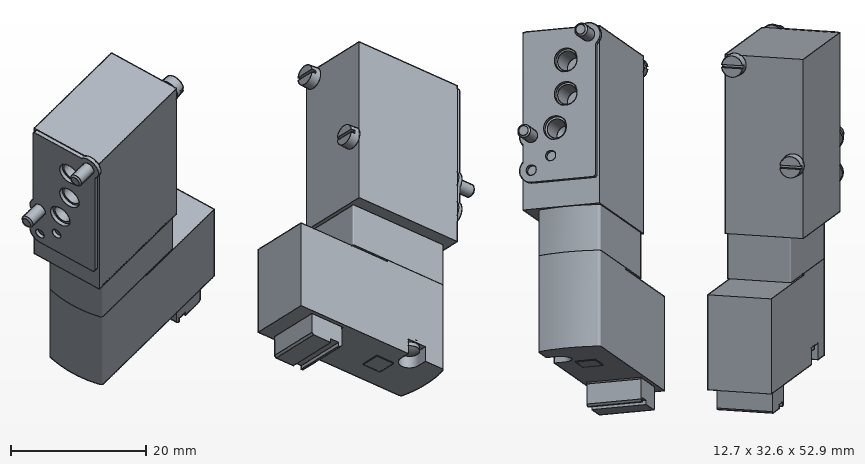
import cadquery as cq
import math


overall_height = 52.9

housing_width = 12.05
housing_depth = 19.1
housing_bottom = 25.3
housing_top = 52.5

plate_thickness = 0.65
plate_left = -5.8
plate_right = 5.65
plate_top = 52.35
plate_corner = 0.5
lobe_radius = 1.85
lobe_fillet = 0.4
lobe_x = 4.5
upper_lobe_z = overall_height - lobe_radius
middle_lobe_z = 36.35
lower_lobe_z = 31.1
plate_bottom = lower_lobe_z - lobe_radius

screw_places = [(lobe_x, upper_lobe_z), (-lobe_x, middle_lobe_z)]
shaft_diameter = 2.0
shaft_tip_y = -3.95
shaft_chamfer = 0.25
head_base_diameter = 3.45
head_end_diameter = 3.25
head_height = 1.6
screw_slot_width = 0.5
screw_slot_depth = 0.7

neck_x = 0.95
plate_port_diameter = 3.6
port_diameter = 3.0
flat_port_places = [(neck_x, 47.5), (neck_x, 42.35)]
drilled_port_place = (-0.75, 37.3)
drilled_port_diameter = 2.9
drill_point_angle = 118
port_depth = 4.25
pin_hole_diameter = 1.6
pin_hole_places = [(-1.45, 33.05), (-lobe_x, lower_lobe_z)]

neck_width = 9.85
connector_left = neck_x - neck_width / 2
neck_front = 0.2
bow_edge_y = 0.8
side_edge_y = 1.3
corner_inset = 0.35
corner_middle_share = 0.3
neck_back = 18.45
neck_back_fillet = 0.2
joint_z = 18.3
connector_back = 28.6
connector_bottom = 3.6
connector_step_y = 11.85
connector_step_height = 0.25

pocket_y = 6.15
pocket_width = 3.35
pocket_radius = pocket_width / 2
pocket_top = 6.15
pocket_end_x = connector_left + pocket_radius

pin_diameter = 3.0
pin_rim_z = 5.5
pin_dome_height = 0.5
pin_recess = 0.55

pad_width = 3.2
pad_back = 11.05
pad_height = 0.15

clip_width = 8.55
clip_front = 20.15
clip_back = 26.0
clip_chamfer = 0.3
clip_foot = 0.2
clip_notch_front = 20.8
clip_notch_back = 22.3
clip_notch_depth = 0.65


def block(x_range, y_range, z_range):
    """A box between the given limits."""
    sizes = [high - low for low, high in (x_range, y_range, z_range)]
    return cq.Workplane("XY").box(*sizes, centered=False).translate((x_range[0], y_range[0], z_range[0]))


def cylinder_y(diameter, place, y_front, y_back):
    """A cylinder along Y, centred on the given (x, z)."""
    face = cq.Workplane("XZ", origin=(0, y_front, 0)).center(*place)
    return face.circle(diameter / 2).extrude(y_front - y_back)


def make_housing():
    half_width = housing_width / 2
    housing = block((-half_width, half_width), (0, housing_depth), (housing_bottom, housing_top))
    for place in screw_places:
        housing = housing.cut(cylinder_y(shaft_diameter, place, 0, housing_depth))
    for place in flat_port_places:
        housing = housing.cut(cylinder_y(port_diameter, place, 0, port_depth))
    drilled_port = cylinder_y(drilled_port_diameter, drilled_port_place, 0, port_depth)
    return housing.cut(drilled_port).cut(make_drill_point())


def make_drill_point():
    """The cone at the end of the drilled port."""
    radius = drilled_port_diameter / 2
    length = radius / math.tan(math.radians(drill_point_angle / 2))
    x, z = drilled_port_place
    return cq.Workplane(cq.Solid.makeCone(radius, 0, length, cq.Vector(x, port_depth, z), cq.Vector(0, 1, 0)))


def make_plate():
    plate = block((plate_left, plate_right), (-plate_thickness, 0), (plate_bottom, plate_top))
    plate = plate.edges("|Y").edges("(<X and >Z) or (>X and <Z)").fillet(plate_corner)
    corner = block((plate_left, -lobe_x), (-plate_thickness, 0), (plate_bottom, lower_lobe_z))
    plate = plate.cut(corner)
    lobe_places = [*screw_places, (-lobe_x, lower_lobe_z)]
    for place in lobe_places:
        plate = plate.union(cylinder_y(2 * lobe_radius, place, -plate_thickness, 0))
    plate = fillet_lobe_joints(plate)
    for place in [*flat_port_places, drilled_port_place]:
        plate = plate.cut(cylinder_y(plate_port_diameter, place, -plate_thickness, 0))
    for place in pin_hole_places:
        plate = plate.cut(cylinder_y(pin_hole_diameter, place, -plate_thickness, 0))
    for place in screw_places:
        plate = plate.cut(cylinder_y(shaft_diameter, place, -plate_thickness, 0))
    return plate


def fillet_lobe_joints(plate):
    """Round the inner corners where the lobes run into the straight plate edges."""
    left_reach = math.sqrt(lobe_radius**2 - (plate_left + lobe_x) ** 2)
    right_reach = math.sqrt(lobe_radius**2 - (plate_right - lobe_x) ** 2)
    top_reach = math.sqrt(lobe_radius**2 - (plate_top - upper_lobe_z) ** 2)
    joints = [
        (plate_left, middle_lobe_z + left_reach),
        (plate_left, middle_lobe_z - left_reach),
        (plate_left, lower_lobe_z + left_reach),
        (plate_right, upper_lobe_z - right_reach),
        (lobe_x - top_reach, plate_top),
    ]
    for x, z in joints:
        nearest = cq.selectors.NearestToPointSelector((x, -plate_thickness / 2, z))
        plate = plate.edges("|Y").edges(nearest).fillet(lobe_fillet)
    return plate


def make_screw(place):
    """A slotted screw with a slightly tapered head behind the housing."""
    head_end = housing_depth + head_height
    shaft = cylinder_y(shaft_diameter, place, shaft_tip_y, housing_depth)
    shaft = shaft.faces("<Y").chamfer(shaft_chamfer)
    x, z = place
    base_centre = cq.Vector(x, housing_depth, z)
    head = cq.Solid.makeCone(
        head_base_diameter / 2, head_end_diameter / 2, head_height, base_centre, cq.Vector(0, 1, 0)
    )
    slot = block(
        (x - head_base_diameter, x + head_base_diameter),
        (head_end - screw_slot_depth, head_end),
        (z - screw_slot_width / 2, z + screw_slot_width / 2),
    )
    return shaft.union(cq.Workplane(head)).cut(slot)


def bowed_body(back, bottom, top):
    """An upright block whose front bows outward between two rounded corners."""
    left = connector_left
    right = left + neck_width
    corner_middle_inset = corner_middle_share * corner_inset
    corner_middle_y = bow_edge_y + corner_middle_share * (side_edge_y - bow_edge_y)
    return (
        cq.Workplane("XY", origin=(0, 0, bottom))
        .moveTo(left, back)
        .lineTo(left, side_edge_y)
        .threePointArc((left + corner_middle_inset, corner_middle_y), (left + corner_inset, bow_edge_y))
        .threePointArc((neck_x, neck_front), (right - corner_inset, bow_edge_y))
        .threePointArc((right - corner_middle_inset, corner_middle_y), (right, side_edge_y))
        .lineTo(right, back)
        .close()
        .extrude(top - bottom)
    )


def make_neck():
    neck = bowed_body(neck_back, joint_z, housing_bottom)
    return neck.edges("|Z and >Y").fillet(neck_back_fillet)


def make_connector():
    connector = bowed_body(connector_back, connector_bottom, joint_z)
    right = connector_left + neck_width
    step = block(
        (connector_left, right),
        (connector_step_y, connector_back),
        (joint_z - connector_step_height, joint_z),
    )
    pad = block(
        (neck_x - pad_width / 2, neck_x + pad_width / 2),
        (pocket_y + pocket_radius, pad_back),
        (connector_bottom - pad_height, connector_bottom),
    )
    return connector.union(pad).cut(step).cut(make_pocket()).cut(make_pin())


def make_pocket():
    """A slot open to the side and below, ending in a half circle."""
    slot = block(
        (connector_left, pocket_end_x),
        (pocket_y - pocket_radius, pocket_y + pocket_radius),
        (connector_bottom, pocket_top),
    )
    end = cq.Workplane("XY", origin=(pocket_end_x, pocket_y, connector_bottom)).circle(pocket_radius)
    return slot.union(end.extrude(pocket_top - connector_bottom))


def make_pin():
    """A round pin set into the pocket ceiling, with a domed lower end."""
    radius = pin_diameter / 2
    half_angle = 2 * math.atan(pin_dome_height / radius)
    dome_radius = radius / math.sin(half_angle)
    dome_middle = (
        dome_radius * math.sin(half_angle / 2),
        pin_rim_z - pin_dome_height + dome_radius * (1 - math.cos(half_angle / 2)),
    )
    pin_top = pocket_top + pin_recess
    return (
        cq.Workplane("XZ", origin=(pocket_end_x, pocket_y, 0))
        .moveTo(0, pin_rim_z - pin_dome_height)
        .threePointArc(dome_middle, (radius, pin_rim_z))
        .lineTo(radius, pin_top)
        .lineTo(0, pin_top)
        .close()
        .revolve(360, (0, 0, 0), (0, 1, 0))
    )


def make_clip():
    left = neck_x - clip_width / 2
    right = neck_x + clip_width / 2
    clip = (
        cq.Workplane("YZ", origin=(left, 0, 0))
        .moveTo(clip_front - clip_foot, connector_bottom)
        .lineTo(clip_front, connector_bottom - clip_foot)
        .lineTo(clip_front, clip_chamfer)
        .lineTo(clip_front + clip_chamfer, 0)
        .lineTo(clip_back - clip_chamfer, 0)
        .lineTo(clip_back, clip_chamfer)
        .lineTo(clip_back, connector_bottom)
        .close()
        .extrude(clip_width)
    )
    notch = block((left, right), (clip_notch_front, clip_notch_back), (0, clip_notch_depth))
    return clip.cut(notch)


housing = make_housing()
plate = make_plate()
mounting_screws = [make_screw(place) for place in screw_places]
neck = make_neck()
connector = make_connector()
pin = make_pin()
clip = make_clip()

result = cq.Compound.makeCompound(
    [
        housing.val(),
        plate.val(),
        *[screw.val() for screw in mounting_screws],
        neck.val(),
        connector.val(),
        pin.val(),
        clip.val(),
    ]
)